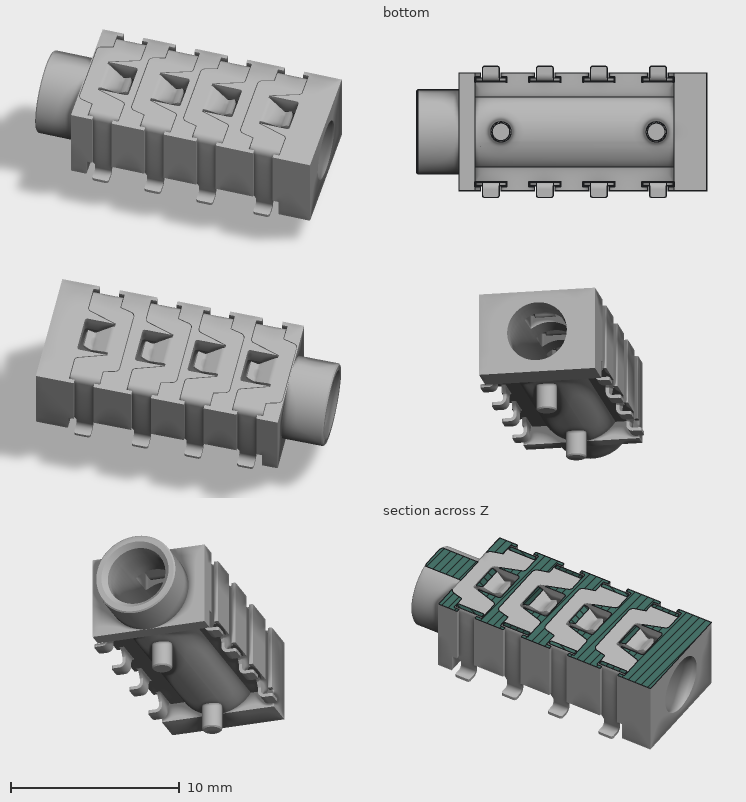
import cadquery as cq
import math


total_length = 17.2
nose_length = 2.5
housing_width = 7.0
housing_height = 5.0
nose_radius = housing_height / 2
axis_z = housing_height / 2
nose_edge_chamfer = 0.08
bore_radius = 1.8
bore_mouth_radius = 2.1
bore_mouth_depth = 0.3
pin_radius = 0.6
pin_length = 1.5
pin_edge_chamfer = 0.08
pin_positions = [5.0, 14.2]
pin_root = 0.3
undercut_height = 1.1
notch_width = 1.2
window_half_width = 1.12
window_corner_radius = 0.15

contact_positions = [4.4, 7.6, 10.8, 14.3]
sheet = 0.2
gap = 0.05
leg_outer_y = 3.2
saddle_bend = 0.4
foot_bend = 0.2
foot_tip_y = 3.9
foot_half_width = 0.5
foot_corner_radius = 0.15
foot_taper_start = 0.65
foot_taper_end = 1.2
wing_half_length = 0.9
plate_front = 1.8
plate_front_half_width = 2.06
front_wing_y = 2.3
rear_wing_y = 1.745
notch_root_y = 1.145
front_corner_radius = 0.28
rear_corner_radius = 0.2

tongue_angle = math.radians(30)
tongue_bend_outer = 0.4
tongue_bend_inner = tongue_bend_outer - sheet
tongue_valley_x = 0.22
tongue_tip_x = 0.645
tongue_root_half_width = 0.955
tongue_valley_half_width = 0.615
tongue_tip_half_width = 0.56
tongue_tip_radius = 0.2

body_length = total_length - nose_length
recess_half_length = wing_half_length + gap


def plate_outline():
    """Plan outline of a contact: stepped front edge, V notch at the rear around the tongue root."""
    half = [
        (-plate_front, plate_front_half_width),
        (-wing_half_length, front_wing_y),
        (-wing_half_length, foot_tip_y),
        (wing_half_length, foot_tip_y),
        (wing_half_length, rear_wing_y),
        (-wing_half_length, notch_root_y),
    ]
    mirrored = [(x, -y) for x, y in reversed(half)]
    plate = cq.Workplane("XY").polyline(half + mirrored).close().extrude(housing_height)
    rounded_corners = [
        (-plate_front, plate_front_half_width, front_corner_radius),
        (wing_half_length, rear_wing_y, rear_corner_radius),
    ]
    for x, y, radius in rounded_corners:
        for side in (1, -1):
            corner = cq.selectors.NearestToPointSelector((x, side * y, housing_height / 2))
            plate = plate.edges("|Z").edges(corner).fillet(radius)
    return plate


def cross_block(half_width, height):
    """Rectangular block centred across Y, standing on the seating plane."""
    return cq.Workplane("XY").box(2 * foot_tip_y, 2 * half_width, height, centered=(True, True, False))


def saddle():
    """Arch of bent sheet across the housing: top plate, two bends and two legs."""
    outer = cross_block(leg_outer_y, housing_height).edges("|X and >Z").fillet(saddle_bend)
    inner = cross_block(leg_outer_y - sheet, housing_height - sheet)
    inner = inner.edges("|X and >Z").fillet(saddle_bend - sheet)
    return outer.cut(inner)


def foot(side):
    """Bent end of a leg with its flat solder foot on the seating plane."""
    inner_y = leg_outer_y - sheet
    centre_y = leg_outer_y + foot_bend
    centre_z = sheet + foot_bend
    bend_outer = foot_bend + sheet
    diagonal = math.sqrt(0.5)
    bent_strip = (
        cq.Workplane("YZ")
        .moveTo(inner_y, foot_taper_start)
        .lineTo(inner_y, centre_z)
        .threePointArc(
            (centre_y - bend_outer * diagonal, centre_z - bend_outer * diagonal), (centre_y, 0)
        )
        .lineTo(foot_tip_y, 0)
        .lineTo(foot_tip_y, sheet)
        .lineTo(centre_y, sheet)
        .threePointArc(
            (centre_y - foot_bend * diagonal, centre_z - foot_bend * diagonal), (leg_outer_y, centre_z)
        )
        .lineTo(leg_outer_y, foot_taper_start)
        .close()
        .extrude(foot_half_width, both=True)
        .edges("|Z and >Y")
        .fillet(foot_corner_radius)
    )
    return bent_strip if side > 0 else bent_strip.mirror("XZ")


def leg_shape():
    """Front silhouette that narrows the legs towards the feet."""
    return (
        cq.Workplane("XZ")
        .moveTo(-foot_half_width, foot_taper_start)
        .lineTo(foot_half_width, foot_taper_start)
        .lineTo(wing_half_length, foot_taper_end)
        .lineTo(plate_front, foot_taper_end)
        .lineTo(plate_front, housing_height)
        .lineTo(-plate_front, housing_height)
        .lineTo(-plate_front, foot_taper_end)
        .lineTo(-wing_half_length, foot_taper_end)
        .close()
        .extrude(foot_tip_y, both=True)
    )


def tongue():
    """Spring tongue: constant-thickness V profile, narrowing in plan to a rounded tip."""
    sin_a, cos_a, tan_a = math.sin(tongue_angle), math.cos(tongue_angle), math.tan(tongue_angle)
    sin_half, cos_half = math.sin(tongue_angle / 2), math.cos(tongue_angle / 2)
    root_x = -wing_half_length
    root_centre_z = housing_height - tongue_bend_outer
    valley_inner = tongue_bend_inner
    valley_outer = tongue_bend_outer

    def root_point(radius, sin_t, cos_t):
        return (root_x + radius * sin_t, root_centre_z + radius * cos_t)

    slope_top = root_point(tongue_bend_outer, sin_a, cos_a)
    slope_end_x = tongue_valley_x - valley_inner * sin_a
    slope_end_z = slope_top[1] - (slope_end_x - slope_top[0]) * tan_a
    valley_centre_z = slope_end_z + valley_inner * cos_a

    def valley_point(radius, sin_t, cos_t):
        return (tongue_valley_x + radius * sin_t, valley_centre_z - radius * cos_t)

    rise_start = valley_point(valley_inner, sin_a, cos_a)
    tip_top = (tongue_tip_x, rise_start[1] + (tongue_tip_x - rise_start[0]) * tan_a)
    tip_bottom = (tip_top[0] + sheet * sin_a, tip_top[1] - sheet * cos_a)

    profile = (
        cq.Workplane("XZ")
        .moveTo(root_x, housing_height)
        .threePointArc(root_point(tongue_bend_outer, sin_half, cos_half), slope_top)
        .lineTo(slope_end_x, slope_end_z)
        .threePointArc(valley_point(valley_inner, 0, 1), rise_start)
        .lineTo(*tip_top)
        .lineTo(*tip_bottom)
        .lineTo(*valley_point(valley_outer, sin_a, cos_a))
        .threePointArc(valley_point(valley_outer, 0, 1), valley_point(valley_outer, -sin_a, cos_a))
        .lineTo(*root_point(tongue_bend_inner, sin_a, cos_a))
        .threePointArc(
            root_point(tongue_bend_inner, sin_half, cos_half), (root_x, housing_height - sheet)
        )
        .close()
        .extrude(tongue_root_half_width, both=True)
    )
    half_plan = [
        (root_x, tongue_root_half_width),
        (tongue_valley_x, tongue_valley_half_width),
        (tip_bottom[0], tongue_tip_half_width),
    ]
    plan = (
        cq.Workplane("XY")
        .polyline(half_plan + [(x, -y) for x, y in reversed(half_plan)])
        .close()
        .extrude(housing_height)
        .edges("|Z and >X")
        .fillet(tongue_tip_radius)
    )
    return profile.intersect(plan)


def contact():
    """One saddle contact centred on X = 0."""
    body = saddle().intersect(plate_outline()).intersect(leg_shape())
    for side in (1, -1):
        body = body.union(foot(side))
    return body.union(tongue())


def contact_recess():
    """Clearance channel for one contact's plate and legs, open to the top."""
    outline = plate_outline().faces("<Z").wires().toPending()
    outline = outline.offset2D(gap).extrude(2 * housing_height, both=True)
    core_half_width = leg_outer_y - sheet - gap
    core = cross_block(core_half_width, housing_height - sheet - gap)
    core = core.edges("|X and >Z").fillet(saddle_bend - sheet - gap)
    return cross_block(leg_outer_y + gap, housing_height).cut(core).intersect(outline)


def window():
    """Opening through the roof into the bore, beneath the tongue."""
    return (
        cq.Workplane("XY", origin=(0, 0, axis_z))
        .rect(2 * recess_half_length, 2 * window_half_width)
        .extrude(housing_height)
        .edges("|Z")
        .fillet(window_corner_radius)
    )


def wall_notch():
    """Gap across both side walls that exposes the legs and feet of one contact."""
    notch_depth = housing_width / 2 - leg_outer_y
    notch = cq.Workplane("XY").box(notch_width, notch_depth, housing_height, centered=(True, False, False))
    return notch.translate((0, leg_outer_y, 0)).union(notch.translate((0, -housing_width / 2, 0)))


def make_housing():
    """Barrel and block with locating pins, bored through and recessed for the contacts."""
    barrel = (
        cq.Workplane("YZ", origin=(0, 0, axis_z))
        .circle(nose_radius)
        .extrude(total_length)
        .faces("<X")
        .chamfer(nose_edge_chamfer)
    )
    block = (
        cq.Workplane("XY")
        .box(body_length, housing_width, housing_height, centered=(False, True, False))
        .translate((nose_length, 0, 0))
    )
    undercut_start = contact_positions[0] - recess_half_length
    undercut_length = contact_positions[-1] + recess_half_length - undercut_start
    undercut = (
        cq.Workplane("XY")
        .box(undercut_length, housing_width, undercut_height, centered=(False, True, False))
        .translate((undercut_start, 0, 0))
    )
    body = block.cut(undercut).union(barrel)

    for x in pin_positions:
        pin = (
            cq.Workplane("XY", origin=(x, 0, -pin_length))
            .circle(pin_radius)
            .extrude(pin_length + pin_root)
            .faces("<Z")
            .chamfer(pin_edge_chamfer)
        )
        body = body.union(pin)

    bore = cq.Workplane("YZ", origin=(0, 0, axis_z)).circle(bore_radius).extrude(total_length)
    bore_mouth = cq.Workplane("XY").add(
        cq.Solid.makeCone(
            bore_mouth_radius, bore_radius, bore_mouth_depth, cq.Vector(0, 0, axis_z), cq.Vector(1, 0, 0)
        )
    )
    body = body.cut(bore).cut(bore_mouth)

    contact_space = contact_recess().union(window()).union(wall_notch())
    for x in contact_positions:
        body = body.cut(contact_space.translate((x, 0, 0)))
    return body


housing = make_housing()
contact_shape = contact()
contacts = [contact_shape.translate((x, 0, 0)) for x in contact_positions]

result = cq.Compound.makeCompound([housing.val(), *[piece.val() for piece in contacts]])